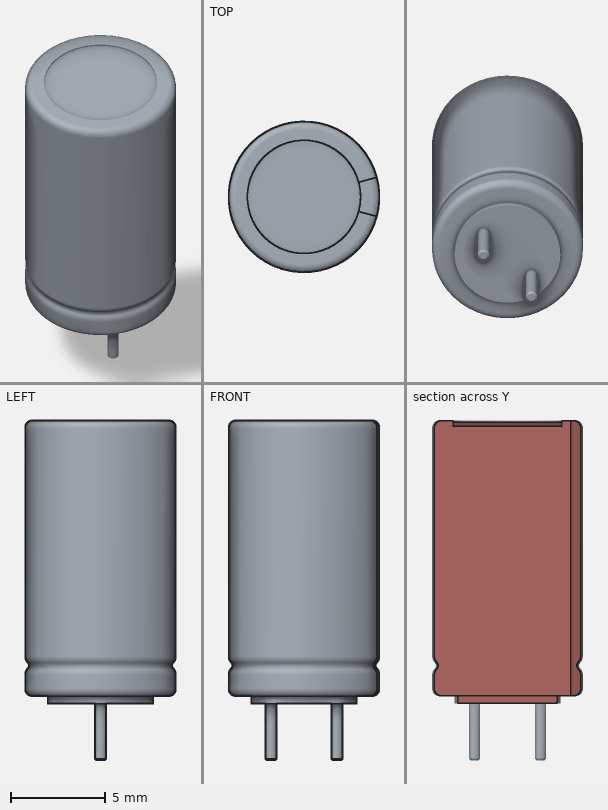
import cadquery as cq
import math

total_height = 18.0
pin_length = 3.0
can_top = total_height - pin_length

can_diameter = 8.0
can_radius = can_diameter / 2
can_bottom = 0.4
edge_radius = 0.4

groove_diameter = 7.6
groove_depth = (can_diameter - groove_diameter) / 2
groove_height = 0.97
groove_z = can_bottom + 1.62
root_share = 1 / 3

stripe_angle = 30.0

lid_diameter = 6.0
lid_radius = lid_diameter / 2
lid_thickness = 0.2
lid_recess = 0.09
lid_seat_z = can_top - lid_recess - lid_thickness

base_diameter = 5.6

pin_diameter = 0.6
pin_pitch = 3.5
pin_tip_chamfer = 0.09


def polar(radius, degrees, center_r, center_z):
    """Point on a circle in the radial half-plane."""
    angle = math.radians(degrees)
    return (center_r + radius * math.cos(angle), center_z + radius * math.sin(angle))


def make_can_blank():
    """Solid of revolution with rounded rims and a smooth S-curved crimp groove."""
    half_height = groove_height / 2
    sweep = 2 * math.degrees(math.atan(groove_depth / half_height))
    radius_sum = half_height / math.sin(math.radians(sweep))
    root_radius = radius_sum * root_share
    lip_radius = radius_sum - root_radius
    root_center_r = can_radius - groove_depth + root_radius
    lip_center_r = can_radius - lip_radius
    lower_lip_z = groove_z - half_height
    upper_lip_z = groove_z + half_height

    flat_radius = can_radius - edge_radius
    lower_rim_z = can_bottom + edge_radius
    upper_rim_z = can_top - edge_radius

    profile = (
        cq.Workplane("XZ")
        .moveTo(0, can_bottom)
        .lineTo(flat_radius, can_bottom)
        .threePointArc(polar(edge_radius, -45, flat_radius, lower_rim_z), (can_radius, lower_rim_z))
        .lineTo(can_radius, lower_lip_z)
        .threePointArc(
            polar(lip_radius, sweep / 2, lip_center_r, lower_lip_z),
            polar(lip_radius, sweep, lip_center_r, lower_lip_z),
        )
        .threePointArc(
            (can_radius - groove_depth, groove_z),
            polar(root_radius, 180 - sweep, root_center_r, groove_z),
        )
        .threePointArc(
            polar(lip_radius, -sweep / 2, lip_center_r, upper_lip_z),
            (can_radius, upper_lip_z),
        )
        .lineTo(can_radius, upper_rim_z)
        .threePointArc(polar(edge_radius, 45, flat_radius, upper_rim_z), (flat_radius, can_top))
        .lineTo(0, can_top)
        .close()
    )
    return profile.revolve(360, (0, 0, 0), (0, 1, 0))


def make_stripe_sector():
    """Full-height sector centred on +X, outside the lid radius and reaching past the can."""
    half_angle = stripe_angle / 2
    outer_radius = can_diameter
    return (
        cq.Workplane("XY")
        .workplane(offset=can_bottom)
        .moveTo(*polar(lid_radius, -half_angle, 0, 0))
        .lineTo(*polar(outer_radius, -half_angle, 0, 0))
        .threePointArc((outer_radius, 0), polar(outer_radius, half_angle, 0, 0))
        .lineTo(*polar(lid_radius, half_angle, 0, 0))
        .threePointArc((lid_radius, 0), polar(lid_radius, -half_angle, 0, 0))
        .close()
        .extrude(can_top - can_bottom)
    )


def make_lid_pocket():
    """Space in the can top that holds the lid."""
    return (
        cq.Workplane("XY")
        .workplane(offset=lid_seat_z)
        .circle(lid_radius)
        .extrude(can_top - lid_seat_z)
    )


def make_can():
    return make_can_blank().cut(make_lid_pocket()).cut(make_stripe_sector())


def make_stripe():
    return make_can_blank().intersect(make_stripe_sector())


def make_lid():
    return cq.Workplane("XY").workplane(offset=lid_seat_z).circle(lid_radius).extrude(lid_thickness)


def make_base():
    return cq.Workplane("XY").circle(base_diameter / 2).extrude(can_bottom)


def make_pin(x):
    """Round lead hanging from the base, with a chamfered tip."""
    return (
        cq.Workplane("XY")
        .center(x, 0)
        .circle(pin_diameter / 2)
        .extrude(-pin_length)
        .faces("<Z")
        .chamfer(pin_tip_chamfer)
    )


can = make_can()
stripe = make_stripe()
lid = make_lid()
base = make_base()
pins = [make_pin(side * pin_pitch / 2) for side in (-1, 1)]

result = cq.Compound.makeCompound(
    [can.val(), stripe.val(), lid.val(), base.val(), *[pin.val() for pin in pins]]
)